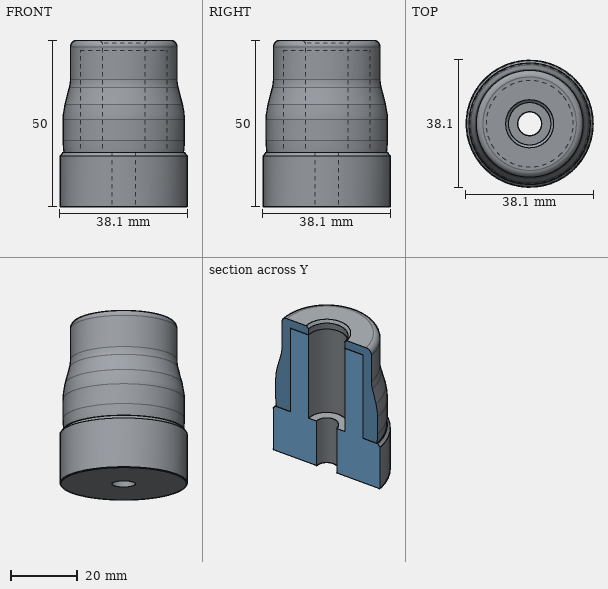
import cadquery as cq
import math

height = 50.0
collar_radius = 19.05

collar_top = 16.45
collar_chamfer_width = 0.85
collar_chamfer_height = 1.1
bottom_chamfer = 0.25

cap_thickness = 3.0
sleeve_wall = 3.0

bore_radius = 6.35
bore_chamfer = 0.85
bore_floor = collar_top
bolt_hole_radius = 3.55

neck_radius = 16.0
belly_radius = 18.2
foot_radius = 17.95
rim_fillet = 2.0
neck_bottom = 38.3
belly_top = 26.2
belly_bottom = 20.05
flare_angle = math.radians(14.5)
neck_blend_radius = 10.0

flare_rise = neck_bottom - belly_top
flare_run = belly_radius - neck_radius
blend_radius_sum = (flare_rise * math.sin(flare_angle) - flare_run * math.cos(flare_angle)) / (
    1 - math.cos(flare_angle)
)
belly_blend_radius = blend_radius_sum - neck_blend_radius

stem_radius = neck_radius - sleeve_wall
stem_top = height - cap_thickness


def arc_point(center, radius, angle):
    """Point (r, z) on an arc, with the angle measured from the +r direction."""
    return (center[0] + radius * math.cos(angle), center[1] + radius * math.sin(angle))


def make_core():
    """Revolved collar and stem with a blind bore and a bolt hole through its floor."""
    profile = (
        cq.Workplane("XZ")
        .moveTo(bolt_hole_radius, 0)
        .lineTo(collar_radius - bottom_chamfer, 0)
        .lineTo(collar_radius, bottom_chamfer)
        .lineTo(collar_radius, collar_top - collar_chamfer_height)
        .lineTo(collar_radius - collar_chamfer_width, collar_top)
        .lineTo(stem_radius, collar_top)
        .lineTo(stem_radius, stem_top)
        .lineTo(bore_radius, stem_top)
        .lineTo(bore_radius, bore_floor)
        .lineTo(bolt_hole_radius, bore_floor)
        .close()
    )
    return profile.revolve(360, (0, 0, 0), (0, 1, 0))


def make_sleeve():
    """Revolved shell that seats on the collar and caps the stem."""
    neck_center = (neck_radius + neck_blend_radius, neck_bottom)
    belly_center = (belly_radius - belly_blend_radius, belly_top)
    neck_mid = arc_point(neck_center, neck_blend_radius, math.pi + flare_angle / 2)
    flare_start = arc_point(neck_center, neck_blend_radius, math.pi + flare_angle)
    flare_end = arc_point(belly_center, belly_blend_radius, flare_angle)
    belly_mid = arc_point(belly_center, belly_blend_radius, flare_angle / 2)
    rim_center = (neck_radius - rim_fillet, height - rim_fillet)
    rim_mid = arc_point(rim_center, rim_fillet, math.pi / 4)

    profile = (
        cq.Workplane("XZ")
        .moveTo(bore_radius, stem_top)
        .lineTo(bore_radius, height - bore_chamfer)
        .lineTo(bore_radius + bore_chamfer, height)
        .lineTo(neck_radius - rim_fillet, height)
        .threePointArc(rim_mid, (neck_radius, height - rim_fillet))
        .lineTo(neck_radius, neck_bottom)
        .threePointArc(neck_mid, flare_start)
        .lineTo(*flare_end)
        .threePointArc(belly_mid, (belly_radius, belly_top))
        .lineTo(belly_radius, belly_bottom)
        .tangentArcPoint((foot_radius, collar_top), relative=False)
        .lineTo(stem_radius, collar_top)
        .lineTo(stem_radius, stem_top)
        .close()
    )
    return profile.revolve(360, (0, 0, 0), (0, 1, 0))


core = make_core()
sleeve = make_sleeve()
result = cq.Compound.makeCompound([core.val(), sleeve.val()])